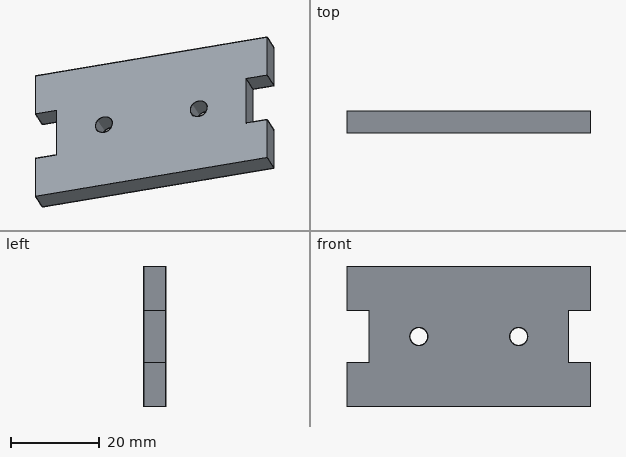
import cadquery as cq

length = 55.0
thickness = 5.0
height = 31.62

tab_height = 10.0
notch_depth = 5.0
notch_height = height - 2 * tab_height

hole_diameter = 4.0
hole_spacing = 22.5


def make_plate():
    """Plain rectangular plate centred on the origin."""
    return cq.Workplane("XY").box(length, thickness, height)


def make_end_notches():
    """Cutters for the two end notches, running through the thickness."""
    notch_offset = (length - notch_depth) / 2
    return (
        cq.Workplane("XY")
        .pushPoints([(-notch_offset, 0), (notch_offset, 0)])
        .box(notch_depth, thickness, notch_height)
    )


def make_holes():
    """Cutters for the two through holes, with their axes along Y."""
    return (
        cq.Workplane("XZ")
        .pushPoints([(-hole_spacing / 2, 0), (hole_spacing / 2, 0)])
        .circle(hole_diameter / 2)
        .extrude(thickness / 2, both=True)
    )


result = make_plate().cut(make_end_notches()).cut(make_holes())